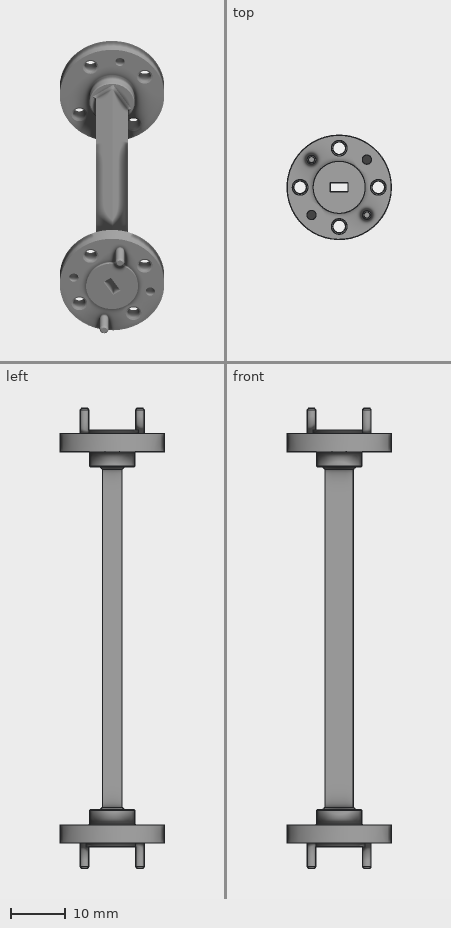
import cadquery as cq

overall_length = 84.1

flange_diameter = 19.1
flange_thickness = 3.4
pin_length = 4.6
face_diameter = 9.5
face_height = 0.7
hub_diameter = 8.2
hub_length = 2.8
hub_edge_chamfer = 0.2
hub_root_fillet = 0.25

tube_width = 5.2
tube_depth = 3.6
bore_width = 3.2
bore_depth = 1.6
collar_size = 0.4

bolt_circle_diameter = 14.3
screw_hole_diameter = 2.3
screw_hole_mouth_diameter = 2.9
screw_hole_mouth_depth = 0.2
pin_hole_diameter = 1.7
pin_diameter = 1.6
pin_tip_height = 0.3
pin_tip_inset = 0.25

flange_outer_z = overall_length / 2 - pin_length
flange_inner_z = flange_outer_z - flange_thickness
hub_end_z = flange_inner_z - hub_length
face_z = flange_outer_z + face_height


def disc(diameter, bottom_z, top_z):
    return cq.Workplane("XY").workplane(offset=bottom_z).circle(diameter / 2).extrude(top_z - bottom_z)


def on_bolt_circle(shape, angle):
    """Copy a shape built on the Z axis to one place on the bolt circle."""
    return shape.translate((bolt_circle_diameter / 2, 0, 0)).rotate((0, 0, 0), (0, 0, 1), angle)


def screw_hole():
    """Cutter for a through hole chamfered at both flange surfaces."""
    radius = screw_hole_diameter / 2
    mouth_radius = screw_hole_mouth_diameter / 2
    profile = [
        (0, flange_inner_z),
        (mouth_radius, flange_inner_z),
        (radius, flange_inner_z + screw_hole_mouth_depth),
        (radius, flange_outer_z - screw_hole_mouth_depth),
        (mouth_radius, flange_outer_z),
        (0, flange_outer_z),
    ]
    return cq.Workplane("XZ").polyline(profile).close().revolve(360, (0, 0), (0, 1))


def pin():
    """Alignment pin with a bevelled tip."""
    tip_z = overall_length / 2
    blank = disc(pin_diameter, flange_inner_z, tip_z)
    return blank.faces(">Z").chamfer(pin_tip_height, pin_tip_inset)


def flange_body():
    """Disc with a raised mating face and a hub filleted into its back."""
    hub = disc(hub_diameter, hub_end_z, flange_inner_z).faces("<Z").chamfer(hub_edge_chamfer)
    body = disc(flange_diameter, flange_inner_z, flange_outer_z).union(hub)
    hub_root = cq.selectors.NearestToPointSelector((hub_diameter / 2, 0, flange_inner_z))
    body = body.edges(cq.selectors.RadiusNthSelector(1)).edges(hub_root).fillet(hub_root_fillet)
    return body.union(disc(face_diameter, flange_outer_z, face_z))


def collar():
    """Frustum that widens from the tube to the hub."""
    return (
        cq.Workplane("XY")
        .workplane(offset=hub_end_z - collar_size)
        .rect(tube_width, tube_depth)
        .workplane(offset=collar_size)
        .rect(tube_width + 2 * collar_size, tube_depth + 2 * collar_size)
        .loft(ruled=True)
    )


def flange():
    """Upper flange with its collar, holes and pins."""
    body = flange_body().union(collar())
    for angle in (0, 90, 180, 270):
        body = body.cut(on_bolt_circle(screw_hole(), angle))
    pin_hole = disc(pin_hole_diameter, flange_inner_z, flange_outer_z)
    for angle in (45, 225):
        body = body.cut(on_bolt_circle(pin_hole, angle))
    for angle in (135, 315):
        body = body.union(on_bolt_circle(pin(), angle))
    return body


upper_flange = flange()
lower_flange = upper_flange.rotate((0, 0, 0), (1, 0, 0), 180)
tube = cq.Workplane("XY").box(tube_width, tube_depth, 2 * hub_end_z)
bore = cq.Workplane("XY").box(bore_width, bore_depth, 2 * face_z)

result = tube.union(upper_flange).union(lower_flange).cut(bore)